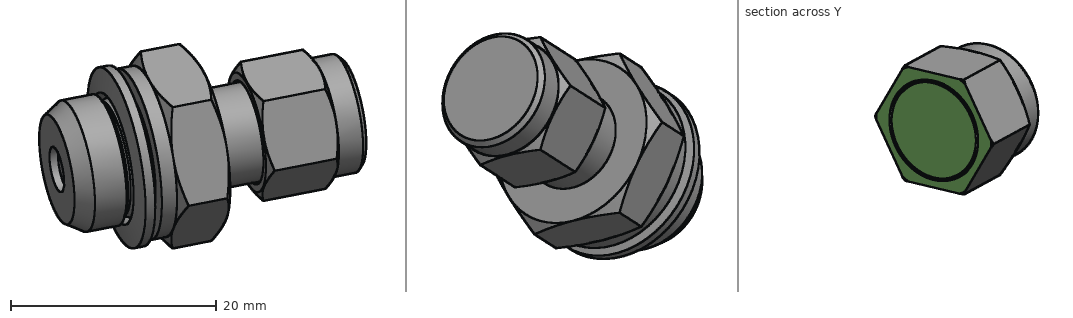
import cadquery as cq
import math

overall_length = 30.0

thread_radius = 6.55
thread_tip_radius = 5.45
thread_tip_length = 1.75
thread_end_y = 4.98
recess_radius = 2.25
recess_depth = 0.87

undercut_entry_radius = 5.88
undercut_entry_y = 5.37
undercut_radius = 5.67
undercut_y = 5.7
taper_back_radius = 6.63

washer_radius = 9.0
washer_front_y = 5.7
washer_back_y = 7.53
washer_taper = 0.42
washer_bore_radius = 6.57

hex_chamfer_angle = 30.0
collar_front_y = 7.95
body_hex_front_y = 9.5
body_hex_back_y = 15.0
body_hex_flats = 16.98
body_chamfer_radius = body_hex_flats / 2
collar_radius = 8.52

stem_radius = 4.95
nut_hex_front_y = 19.5
nut_hex_back_y = 27.0
nut_hex_flats = 12.0
nut_chamfer_radius = 5.95
nut_bore_radius = 5.15
nut_bore_depth = 0.9
end_radius = 5.9
end_chamfer = 0.5


def revolve_about_y(points):
    """Turn a closed (radius, Y) outline about the Y axis."""
    return cq.Workplane("XY").polyline(points).close().revolve(360, (0, 0, 0), (0, 1, 0))


def cylinder_along_y(radius, start_y, end_y):
    return revolve_about_y([(0, start_y), (radius, start_y), (radius, end_y), (0, end_y)])


def chamfered_hexagon(flats, start_y, end_y, chamfer_radius):
    """Hexagon with corners on X, trimmed at both ends by 30 degree cones."""
    corner_radius = flats / math.sqrt(3)
    length = end_y - start_y
    prism = (
        cq.Workplane("XZ", origin=(0, start_y, 0))
        .polygon(6, 2 * corner_radius)
        .extrude(-length)
    )
    chamfer_length = (corner_radius - chamfer_radius) * math.tan(math.radians(hex_chamfer_angle))
    envelope = revolve_about_y([
        (0, start_y),
        (chamfer_radius, start_y),
        (corner_radius, start_y + chamfer_length),
        (corner_radius, end_y - chamfer_length),
        (chamfer_radius, end_y),
        (0, end_y),
    ])
    return prism.intersect(envelope)


def make_fitting():
    threaded_end = revolve_about_y([
        (0, 0),
        (thread_tip_radius, 0),
        (thread_radius, thread_tip_length),
        (thread_radius, thread_end_y),
        (undercut_entry_radius, undercut_entry_y),
        (undercut_radius, undercut_y),
        (taper_back_radius, collar_front_y),
        (collar_radius, collar_front_y),
        (collar_radius, body_hex_front_y),
        (0, body_hex_front_y),
    ])
    body_hexagon = chamfered_hexagon(
        body_hex_flats, body_hex_front_y, body_hex_back_y, body_chamfer_radius
    )
    stem = cylinder_along_y(stem_radius, body_hex_back_y, nut_hex_front_y + nut_bore_depth)
    nut_hexagon = chamfered_hexagon(
        nut_hex_flats, nut_hex_front_y, nut_hex_back_y, nut_chamfer_radius
    )
    nut_bore = cylinder_along_y(nut_bore_radius, nut_hex_front_y, nut_hex_front_y + nut_bore_depth)
    nut_hexagon = nut_hexagon.cut(nut_bore)
    round_end = cylinder_along_y(end_radius, nut_hex_back_y, overall_length)
    round_end = round_end.faces(">Y").chamfer(end_chamfer)
    recess = cylinder_along_y(recess_radius, 0, recess_depth)
    return (
        threaded_end.union(body_hexagon)
        .union(stem)
        .union(nut_hexagon)
        .union(round_end)
        .cut(recess)
    )


def make_washer():
    return revolve_about_y([
        (washer_bore_radius, washer_front_y),
        (washer_radius, washer_front_y + washer_taper),
        (washer_radius, washer_back_y - washer_taper),
        (washer_bore_radius, washer_back_y),
    ])


fitting = make_fitting()
washer = make_washer()

result = cq.Compound.makeCompound([fitting.val(), washer.val()])